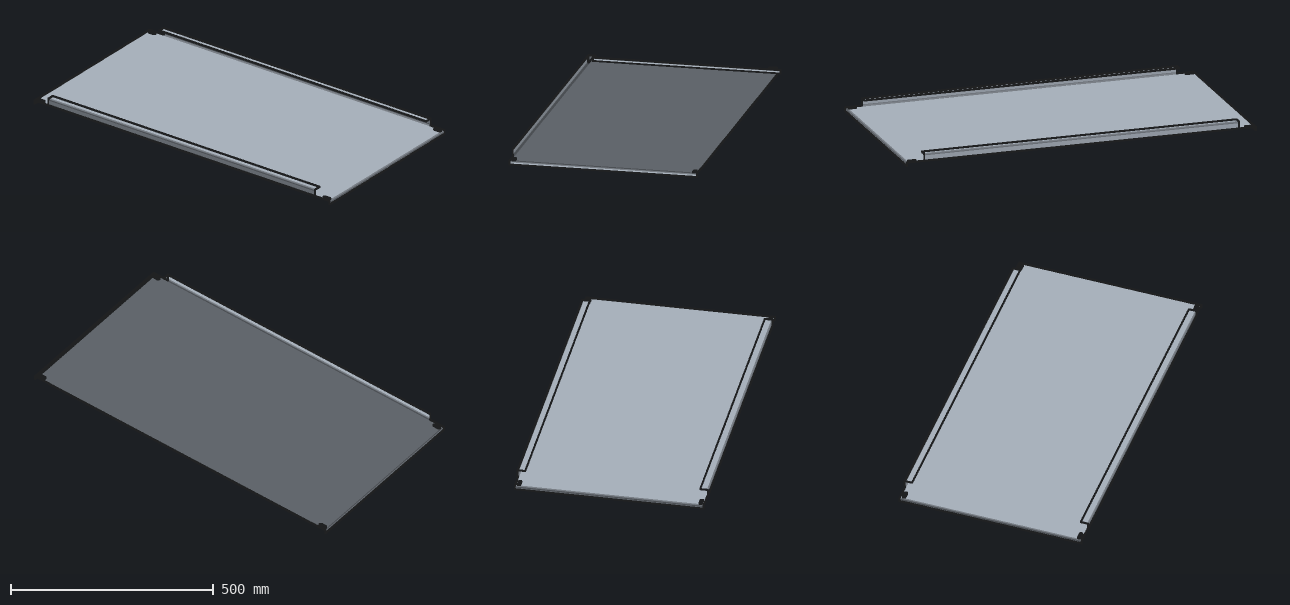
import cadquery as cq

length = 910.0
width = 480.0
sheet = 1.5
inner_radius = 1.0
outer_radius = inner_radius + sheet

end_flange_height = 10.0
side_flange_height = 20.0
side_flange_end_gap = 45.0
lip_width = 20.0
side_flange_length = length - 2 * side_flange_end_gap

corner_setback = outer_radius
end_width = width - 2 * corner_setback
panel_bottom = end_flange_height - sheet
top = panel_bottom + side_flange_height

slot_length = 20.0
slot_width = 7.0
slot_end_distance = 16.0
slot_side_distance = 11.5


def end_channel():
    """Flat panel with both ends folded down, swept across the width."""
    outer = cq.Workplane("XY").box(length, end_width, end_flange_height, centered=(True, True, False))
    outer = outer.edges("|Y and >Z").fillet(outer_radius)
    inner = cq.Workplane("XY").box(
        length - 2 * sheet, end_width, end_flange_height - sheet, centered=(True, True, False)
    )
    inner = inner.edges("|Y and >Z").fillet(inner_radius)
    return outer.cut(inner)


def side_channel():
    """Panel middle with both sides folded up and their lips folded inward."""
    outer = cq.Workplane("XY").box(
        side_flange_length, width, side_flange_height, centered=(True, True, False)
    )
    outer = outer.edges("|X").fillet(outer_radius)
    inner = (
        cq.Workplane("XY", origin=(0, 0, sheet))
        .box(
            side_flange_length,
            width - 2 * sheet,
            side_flange_height - 2 * sheet,
            centered=(True, True, False),
        )
        .edges("|X")
        .fillet(inner_radius)
    )
    lip_opening = cq.Workplane("XY", origin=(0, 0, side_flange_height / 2)).box(
        side_flange_length, width - 2 * lip_width, side_flange_height, centered=(True, True, False)
    )
    return outer.cut(inner).cut(lip_opening).translate((0, 0, panel_bottom))


def corner_slots():
    """Cutters for the slots, which run along X through the panel."""
    x_offset = length / 2 - slot_end_distance
    y_offset = width / 2 - slot_side_distance
    return (
        cq.Workplane("XY", origin=(0, 0, panel_bottom))
        .rect(2 * x_offset, 2 * y_offset, forConstruction=True)
        .vertices()
        .slot2D(slot_length, slot_width)
        .extrude(sheet)
    )


fold_clearance = cq.Workplane("XY").box(
    side_flange_length, width, top, centered=(True, True, False)
)
result = end_channel().cut(fold_clearance).union(side_channel()).cut(corner_slots())